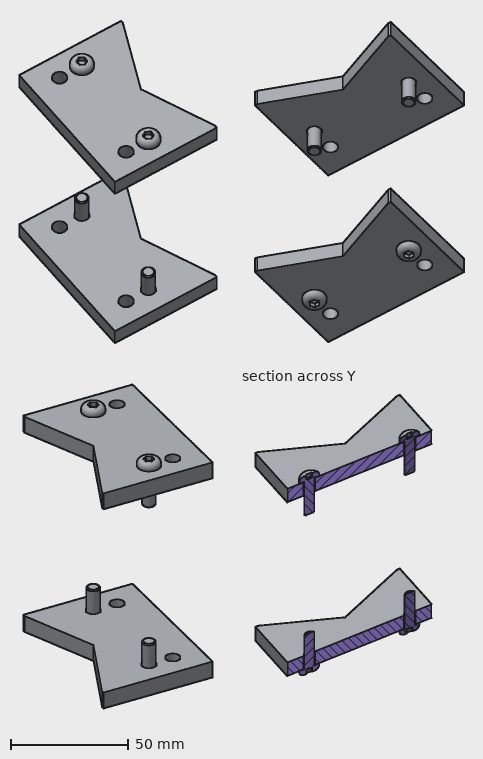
import cadquery as cq
import math

overall_height = 114.6

plate_width = 72.0
plate_depth = 53.0
plate_thickness = 8.0
notch_depth = 14.5
tip_flat = 1.4
hole_diameter = 6.5
hole_spacing = 50.0
screw_y = 25.0
free_hole_y = 13.4

shank_diameter = 6.0
shank_length = 19.8
shank_chamfer = 0.6
head_diameter = 10.5
head_height = 3.3
head_rim_height = 0.8

socket_across_flats = 4.0
socket_depth = 3.2
socket_cone_depth = 0.9
socket_mouth_diameter = 5.2
socket_mouth_depth = 0.17

plate_top = overall_height / 2 - head_height
hole_columns = (-hole_spacing / 2, hole_spacing / 2)


def make_plate():
    """Upper plate with a V notch in its +Y edge and four through holes."""
    half_width = plate_width / 2
    tip_x = half_width - tip_flat
    hole_centers = [(x, y) for x in hole_columns for y in (screw_y, free_hole_y)]
    return (
        cq.Workplane("XY", origin=(0, 0, plate_top - plate_thickness))
        .moveTo(-half_width, 0)
        .lineTo(half_width, 0)
        .lineTo(half_width, plate_depth)
        .lineTo(tip_x, plate_depth)
        .lineTo(0, plate_depth - notch_depth)
        .lineTo(-tip_x, plate_depth)
        .lineTo(-half_width, plate_depth)
        .close()
        .extrude(plate_thickness)
        .cut(
            cq.Workplane("XY", origin=(0, 0, plate_top - plate_thickness))
            .pushPoints(hole_centers)
            .circle(hole_diameter / 2)
            .extrude(plate_thickness)
        )
    )


def make_drive_socket():
    """Hex socket with a flared mouth and a conical floor, opening at the top of the head."""
    corner_diameter = socket_across_flats / math.cos(math.pi / 6)
    corner_radius = corner_diameter / 2
    hexagon = (
        cq.Workplane("XY", origin=(0, 0, head_height))
        .polygon(6, corner_diameter)
        .extrude(-socket_depth)
    )
    floor_z = head_height - socket_depth
    floor_plug = (
        cq.Workplane("XZ")
        .moveTo(0, floor_z)
        .lineTo(corner_radius, floor_z)
        .lineTo(corner_radius, floor_z + socket_cone_depth)
        .close()
        .revolve(360, (0, 0, 0), (0, 1, 0))
    )
    mouth = cq.Workplane(
        cq.Solid.makeCone(
            socket_across_flats / 2,
            socket_mouth_diameter / 2,
            socket_mouth_depth,
            cq.Vector(0, 0, head_height - socket_mouth_depth),
        )
    )
    return hexagon.cut(floor_plug).union(mouth)


def make_screw():
    """Screw pointing down, with the underside of its head at Z = 0."""
    head_radius = head_diameter / 2
    dome_radius = head_height - head_rim_height
    top_radius = head_radius - dome_radius
    dome_middle = (
        top_radius + dome_radius * math.cos(math.pi / 4),
        head_rim_height + dome_radius * math.sin(math.pi / 4),
    )
    head = (
        cq.Workplane("XZ")
        .lineTo(head_radius, 0)
        .lineTo(head_radius, head_rim_height)
        .threePointArc(dome_middle, (top_radius, head_height))
        .lineTo(0, head_height)
        .close()
        .revolve(360, (0, 0, 0), (0, 1, 0))
    )
    shank = (
        cq.Workplane("XY")
        .circle(shank_diameter / 2)
        .extrude(-shank_length)
        .faces("<Z")
        .chamfer(shank_chamfer)
    )
    return head.union(shank).cut(make_drive_socket())


upper_plate = make_plate()
screw = make_screw()
upper_screws = [screw.translate((x, screw_y, plate_top)) for x in hole_columns]

upper_bodies = [upper_plate, *upper_screws]
lower_bodies = [body.mirror("XY") for body in upper_bodies]

result = cq.Compound.makeCompound([body.val() for body in upper_bodies + lower_bodies])